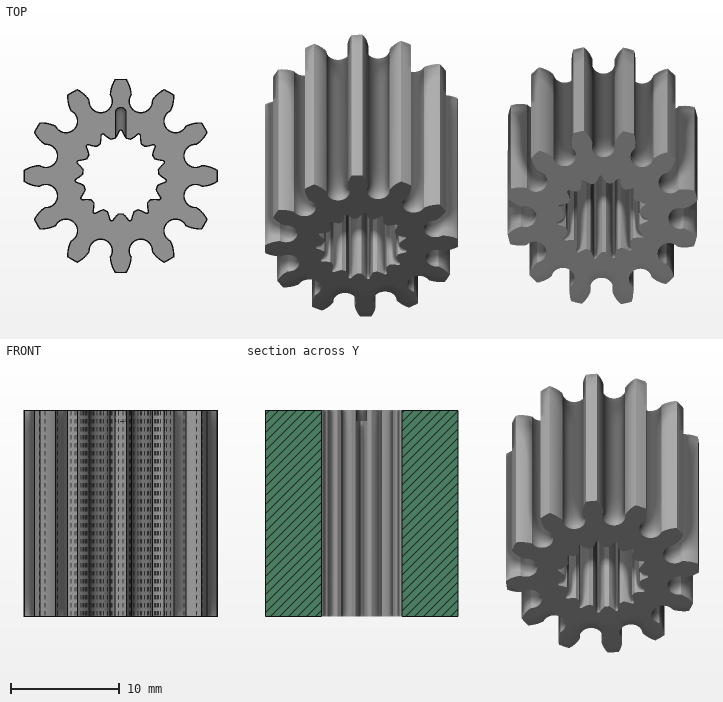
import cadquery as cq
import math

length = 19.0
tooth_count = 12
tip_radius = 8.91
tip_half_width = 0.51
flank_mid_half_width = 0.87
flank_mid_height = 8.08
flank_base_half_width = 0.97
flank_base_height = 7.49
root_radius = 6.08

spline_count = 15
bore_radius = 3.5
groove_half_width = 0.53
groove_mid_half_width = 0.36
groove_mid_height = 3.7
groove_end_half_width = 0.15
groove_end_height = 4.1
groove_radius = 4.22

mark_width = 1.0
mark_reach = 6.3
mark_depth = 1.0


def height_on_circle(radius, half_width):
    """Distance along the centreline where a circle has the given half width."""
    return math.sqrt(radius**2 - half_width**2)


def turned(point, degrees):
    """The point turned clockwise about the gear axis."""
    angle = math.radians(degrees)
    x, y = point
    return (
        x * math.cos(angle) + y * math.sin(angle),
        y * math.cos(angle) - x * math.sin(angle),
    )


def mirrored(point):
    """The point on the other side of the Y axis."""
    return (-point[0], point[1])


def ring_of_bumps(count, half_bump, peak, valley):
    """Closed outline of equal symmetric bumps, the first centred on +Y.

    half_bump lists the right side from peak corner, through the flank, to the foot.
    peak and valley are the middles of the arcs over a bump and between two bumps.
    """
    pitch = 360 / count
    corner, flank, foot = half_bump
    outline = cq.Workplane("XY").moveTo(*mirrored(foot))
    for index in range(count):
        turn = index * pitch
        outline = (
            outline.threePointArc(turned(mirrored(flank), turn), turned(mirrored(corner), turn))
            .threePointArc(turned(peak, turn), turned(corner, turn))
            .threePointArc(turned(flank, turn), turned(foot, turn))
            .threePointArc(turned(valley, turn + pitch / 2), turned(mirrored(foot), turn + pitch))
        )
    return outline.close()


def gear_body():
    half_tooth = [
        (tip_half_width, height_on_circle(tip_radius, tip_half_width)),
        (flank_mid_half_width, flank_mid_height),
        (flank_base_half_width, flank_base_height),
    ]
    outline = ring_of_bumps(tooth_count, half_tooth, (0, tip_radius), (0, root_radius))
    return outline.extrude(length)


def splined_bore():
    half_groove = [
        (groove_end_half_width, groove_end_height),
        (groove_mid_half_width, groove_mid_height),
        (groove_half_width, height_on_circle(bore_radius, groove_half_width)),
    ]
    outline = ring_of_bumps(spline_count, half_groove, (0, groove_radius), (0, bore_radius))
    return outline.extrude(length)


def index_mark():
    end_centre = mark_reach - mark_width / 2
    floor = cq.Workplane("XY").workplane(offset=length - mark_depth)
    straight = floor.center(0, end_centre / 2).rect(mark_width, end_centre).extrude(mark_depth)
    round_end = floor.center(0, end_centre).circle(mark_width / 2).extrude(mark_depth)
    return straight.union(round_end)


result = gear_body().cut(splined_bore()).cut(index_mark())